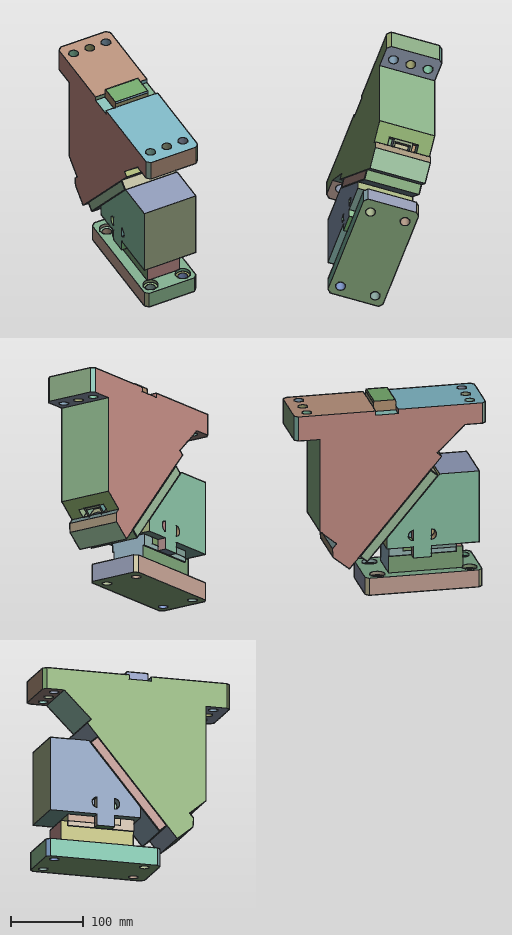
import cadquery as cq
import math

WIDTH = 80.0
SLIDE_ANGLE = 50.0
CORNER_CHAMFER = 5.0

PLATE_LENGTH = 270.0
PLATE_TOP = 270.0
PLATE_LEFT_THICKNESS = 35.5
PLATE_RIGHT_THICKNESS = 30.0
PLATE_HOLE_DIAMETER = 13.5
PLATE_HOLE_OFFSET = 115.0
PLATE_HOLE_PITCH = 25.0

WEDGE_BACK_X = -100.0
WEDGE_BACK_BOTTOM = 99.3
REAR_FACE_LENGTH = 31.0
LEDGE_LENGTH = 9.0
HOOK_BACK_HEIGHT = 12.8
HOOK_BACK_LEAN = 0.8
WEDGE_TIP_X = -58.0
WEDGE_TIP_Z = 41.0
SLIDE_FACE_LENGTH = 202.5
NOSE_DEPTH = 8.0
NOSE_RELIEF_X = 105.2

KEY_CENTER_X = -5.0
KEY_LENGTH = 31.8
KEY_WIDTH = 50.2
KEY_TOP = 279.0
KEY_SLOT_DEPTH = 6.0
KEY_BEVEL_DROP = 2.5
KEY_BEVEL_INSET = 1.0

POCKET_WIDTH = 42.0
POCKET_HEIGHT = 12.8
POCKET_DEPTH = 16.7
POCKET_FLOOR_DROP = 0.5
FRAME_WIDTH = 26.8
FRAME_SIDE_WALL = 2.5
FRAME_TOP_WALL = 4.0
FRAME_SETBACK = 1.5
POCKET_BORE_RADIUS = 11.7
POCKET_BORE_Z = 72.0
POCKET_BORE_DEPTH = 16.7

SLIDER_LEFT = -5.0
SLIDER_RIGHT = 125.3
SLIDER_BOTTOM = 66.0
SLIDER_TOP = 170.5
LINER_START = 22.5
LINER_LENGTH = 155.7
LINER_THICKNESS = 14.2
LINER_CHAMFER = 0.8

TAB_CENTER_X = 45.0
TAB_WIDTH = 25.0
TAB_BOTTOM = 50.0
SIDE_SLOT_LENGTH = 39.5
SIDE_SLOT_HEIGHT = 15.0
SIDE_SLOT_Z = 83.0

FLANGE_LEFT = -35.0
FLANGE_RIGHT = 130.0
FLANGE_THICKNESS = 25.0
POST_LEFT = 0.5
POST_LENGTH = 104.5
POST_WIDTH = 50.2
POST_TOP = 56.5
RAIL_LENGTH = 95.0
RAIL_WIDTH = 54.0
STOP_LENGTH = 19.5
MOUNT_HOLE_DIAMETER = 13.5
MOUNT_BORE_DIAMETER = 21.0
MOUNT_BORE_DEPTH = 5.0
MOUNT_HOLE_LEFT_X = -15.3
MOUNT_HOLE_SPACING_X = 130.0
MOUNT_HOLE_SPACING_Y = 50.2

COS = math.cos(math.radians(SLIDE_ANGLE))
SIN = math.sin(math.radians(SLIDE_ANGLE))


def slide_point(along, away):
    """XZ point at a distance up the slide from the wedge tip, and away from the driver."""
    return (
        WEDGE_TIP_X + along * COS + away * SIN,
        WEDGE_TIP_Z + along * SIN - away * COS,
    )


def block(x_min, x_max, width, z_min, z_max):
    """Box that is centred on the middle plane."""
    return cq.Workplane("XY").box(x_max - x_min, width, z_max - z_min).translate(
        ((x_min + x_max) / 2, 0, (z_min + z_max) / 2)
    )


def prism(points, width):
    """XZ outline extruded evenly to both sides of the middle plane."""
    return cq.Workplane("XZ").polyline(points).close().extrude(width / 2, both=True)


LEDGE_CORNER = (
    WEDGE_BACK_X + REAR_FACE_LENGTH * SIN,
    WEDGE_BACK_BOTTOM - REAR_FACE_LENGTH * COS,
)


def driver_profile():
    half_length = PLATE_LENGTH / 2
    left_bottom = PLATE_TOP - PLATE_LEFT_THICKNESS
    right_bottom = PLATE_TOP - PLATE_RIGHT_THICKNESS
    hook_x = LEDGE_CORNER[0] - LEDGE_LENGTH * COS
    hook_top = LEDGE_CORNER[1] - LEDGE_LENGTH * SIN
    return [
        (-half_length, PLATE_TOP),
        (-half_length, left_bottom),
        (WEDGE_BACK_X, left_bottom),
        (WEDGE_BACK_X, WEDGE_BACK_BOTTOM),
        LEDGE_CORNER,
        (hook_x, hook_top),
        (hook_x + HOOK_BACK_LEAN, hook_top - HOOK_BACK_HEIGHT),
        (WEDGE_TIP_X, WEDGE_TIP_Z),
        slide_point(SLIDE_FACE_LENGTH, 0),
        slide_point(SLIDE_FACE_LENGTH, -NOSE_DEPTH),
        (NOSE_RELIEF_X, right_bottom),
        (half_length, right_bottom),
        (half_length, PLATE_TOP),
    ]


def key():
    left = KEY_CENTER_X - KEY_LENGTH / 2
    right = KEY_CENTER_X + KEY_LENGTH / 2
    return prism(
        [
            (left, PLATE_TOP - KEY_SLOT_DEPTH),
            (right, PLATE_TOP - KEY_SLOT_DEPTH),
            (right, KEY_TOP - KEY_BEVEL_DROP),
            (right - KEY_BEVEL_INSET, KEY_TOP),
            (left + KEY_BEVEL_INSET, KEY_TOP),
            (left, KEY_TOP - KEY_BEVEL_DROP),
        ],
        KEY_WIDTH,
    )


def rear_pocket():
    """Pocket that runs up from the rear face, just below the ledge, around a thin frame."""

    def channel(start, end, height, width):
        floor = -POCKET_FLOOR_DROP
        corners = [(start, floor), (end, floor), (end, height), (start, height)]
        outline = [
            (
                LEDGE_CORNER[0] + along * COS - up * SIN,
                LEDGE_CORNER[1] + along * SIN + up * COS,
            )
            for along, up in corners
        ]
        return prism(outline, width)

    frame = channel(FRAME_SETBACK, POCKET_DEPTH, POCKET_HEIGHT, FRAME_WIDTH)
    frame_opening = channel(
        FRAME_SETBACK,
        POCKET_DEPTH,
        POCKET_HEIGHT - FRAME_TOP_WALL,
        FRAME_WIDTH - 2 * FRAME_SIDE_WALL,
    )
    return channel(0, POCKET_DEPTH, POCKET_HEIGHT, POCKET_WIDTH).cut(frame).union(frame_opening)


def pocket_bore():
    return (
        cq.Workplane("YZ", origin=(LEDGE_CORNER[0], 0, POCKET_BORE_Z))
        .circle(POCKET_BORE_RADIUS)
        .extrude(POCKET_BORE_DEPTH)
    )


def make_driver():
    body = prism(driver_profile(), WIDTH)
    body = body.edges("|Z and (<X or >X)").chamfer(CORNER_CHAMFER)
    hole_centers = [
        (side * PLATE_HOLE_OFFSET, row * PLATE_HOLE_PITCH) for side in (-1, 1) for row in (-1, 0, 1)
    ]
    holes = (
        cq.Workplane("XY")
        .workplane(offset=PLATE_TOP)
        .pushPoints(hole_centers)
        .circle(PLATE_HOLE_DIAMETER / 2)
        .extrude(-PLATE_LEFT_THICKNESS)
    )
    key_slot = block(
        KEY_CENTER_X - KEY_LENGTH / 2,
        KEY_CENTER_X + KEY_LENGTH / 2,
        WIDTH,
        PLATE_TOP - KEY_SLOT_DEPTH,
        PLATE_TOP,
    )
    body = body.cut(holes).cut(key_slot).union(key())
    return body.cut(rear_pocket()).cut(pocket_bore())


def slider_block():
    """Block whose upper left is cut off along the back of the liner."""
    back_x, back_z = slide_point(0, LINER_THICKNESS)
    slope = SIN / COS
    return prism(
        [
            (SLIDER_LEFT, SLIDER_BOTTOM),
            (SLIDER_RIGHT, SLIDER_BOTTOM),
            (SLIDER_RIGHT, SLIDER_TOP),
            (back_x + (SLIDER_TOP - back_z) / slope, SLIDER_TOP),
            (SLIDER_LEFT, back_z + (SLIDER_LEFT - back_x) * slope),
        ],
        WIDTH,
    )


def liner():
    """Sliding plate, chamfered around both of its side faces."""
    end = LINER_START + LINER_LENGTH
    plate = prism(
        [
            slide_point(LINER_START, 0),
            slide_point(end, 0),
            slide_point(end, LINER_THICKNESS),
            slide_point(LINER_START, LINER_THICKNESS),
        ],
        WIDTH,
    )
    return plate.faces("<Y or >Y").edges().chamfer(LINER_CHAMFER)


def side_pieces(outline, depth):
    """Outline in XZ extruded inwards from each side face by the depth."""
    near = outline.extrude(depth).translate((0, depth - WIDTH / 2, 0))
    return near.union(near.mirror("XZ"))


def make_slider():
    wall = (WIDTH - RAIL_WIDTH) / 2
    slots = side_pieces(
        cq.Workplane("XZ").center(TAB_CENTER_X, SIDE_SLOT_Z).slot2D(SIDE_SLOT_LENGTH, SIDE_SLOT_HEIGHT),
        wall,
    )
    tab_top = SIDE_SLOT_Z + SIDE_SLOT_HEIGHT / 2
    tabs = side_pieces(
        cq.Workplane("XZ")
        .center(TAB_CENTER_X, (TAB_BOTTOM + tab_top) / 2)
        .rect(TAB_WIDTH, tab_top - TAB_BOTTOM),
        wall,
    )
    foot = block(
        POST_LEFT + STOP_LENGTH, POST_LEFT + RAIL_LENGTH, RAIL_WIDTH, POST_TOP, SLIDER_BOTTOM
    )
    return slider_block().union(liner()).cut(slots).union(tabs).union(foot)


def make_base():
    flange = block(FLANGE_LEFT, FLANGE_RIGHT, WIDTH, 0, FLANGE_THICKNESS)
    flange = flange.edges("|Z").chamfer(CORNER_CHAMFER)
    hole_centers = [
        (MOUNT_HOLE_LEFT_X + step * MOUNT_HOLE_SPACING_X, side * MOUNT_HOLE_SPACING_Y / 2)
        for step in (0, 1)
        for side in (-1, 1)
    ]
    flange = (
        flange.faces(">Z")
        .workplane(origin=(0, 0, FLANGE_THICKNESS))
        .pushPoints(hole_centers)
        .cboreHole(MOUNT_HOLE_DIAMETER, MOUNT_BORE_DIAMETER, MOUNT_BORE_DEPTH)
    )
    post = block(POST_LEFT, POST_LEFT + POST_LENGTH, POST_WIDTH, FLANGE_THICKNESS, POST_TOP)
    rail = block(POST_LEFT, POST_LEFT + RAIL_LENGTH, RAIL_WIDTH, TAB_BOTTOM, POST_TOP)
    stop = block(POST_LEFT, POST_LEFT + STOP_LENGTH, RAIL_WIDTH, POST_TOP, SLIDER_BOTTOM)
    return flange.union(post).union(rail).union(stop)


driver = make_driver()
slider = make_slider()
base = make_base()

result = cq.Compound.makeCompound([driver.val(), slider.val(), base.val()])